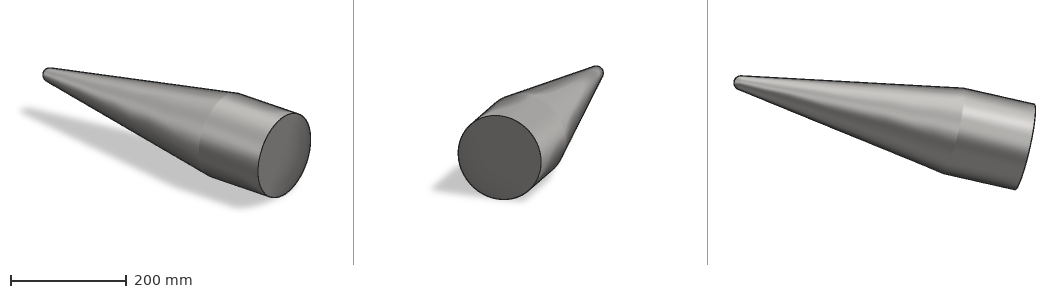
import cadquery as cq
import math

total_length = 519.5
base_diameter = 152.0
base_length = 127.0
nose_radius = 12.5

base_radius = base_diameter / 2
nose_tip_x = -total_length / 2
base_end_x = total_length / 2
shoulder_x = base_end_x - base_length
nose_center_x = nose_tip_x + nose_radius

shoulder_run = shoulder_x - nose_center_x
shoulder_distance = math.hypot(shoulder_run, base_radius)
cone_angle = math.atan2(base_radius, shoulder_run) - math.asin(nose_radius / shoulder_distance)


def nose_point(angle_from_tip):
    """Point on the nose arc, with the angle measured from the tip."""
    return (
        nose_center_x - nose_radius * math.cos(angle_from_tip),
        nose_radius * math.sin(angle_from_tip),
    )


nose_sweep = math.pi / 2 - cone_angle

half_profile = (
    cq.Workplane("XZ")
    .moveTo(nose_tip_x, 0)
    .threePointArc(nose_point(nose_sweep / 2), nose_point(nose_sweep))
    .lineTo(shoulder_x, base_radius)
    .lineTo(base_end_x, base_radius)
    .lineTo(base_end_x, 0)
    .close()
)

result = half_profile.revolve(360, (0, 0, 0), (1, 0, 0))